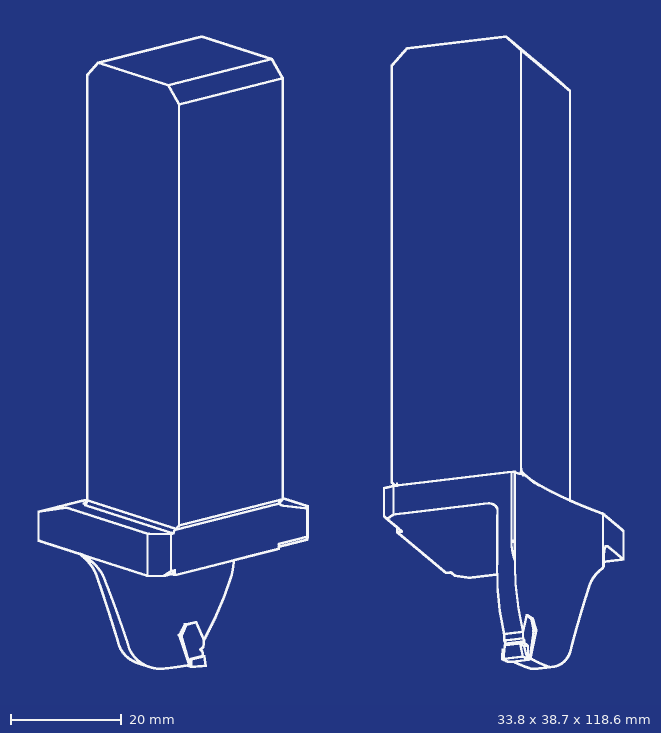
import cadquery as cq
import math

TOTAL_HEIGHT = 118.6
SHANK_SIZE = 25.0
SHANK_TOP_CHAMFER = 3.0
NECK_STEP = 1.1
NECK_STEP_Z = 36.3

HEAD_LEFT = -8.8
HEAD_RIGHT = SHANK_SIZE - NECK_STEP
HEAD_FRONT = -4.0
HEAD_BACK = 34.7
HEAD_BOTTOM = 26.7
HEAD_TOP = 34.6
HEAD_CORNER_CHAMFER = 3.0
HEAD_LOWER_CHAMFER = 1.0
SLOPE_DROP = 2.5
SLOPE_RUN = 7.7
NECK_FILLET = 1.4
FRONT_BEVEL_DEPTH = 0.5
FRONT_BEVEL_HEIGHT = 0.8

SLOPE_ANGLE = math.atan2(SLOPE_DROP, SLOPE_RUN)
FILLET_TANGENT = NECK_FILLET * math.tan((math.pi / 2 - SLOPE_ANGLE) / 2)
NECK_REACH = FILLET_TANGENT * math.cos(SLOPE_ANGLE)
NECK_TOP = HEAD_TOP + FILLET_TANGENT * (1 + math.sin(SLOPE_ANGLE))

BLADE_CENTRE_Y = 25.0
INNER_RADIUS = 24.9
INNER_REACH = -0.5
OUTER_RADIUS = 21.3
OUTER_REACH = 3.2
INNER_CENTRE_X = INNER_REACH - INNER_RADIUS
OUTER_CENTRE_X = OUTER_REACH - OUTER_RADIUS
BLADE_FILLET = 1.8
BLADE_BOTTOM = 0.7
BLADE_FRONT_Z = 22.4
BACK_EDGE_FLAT = 0.7
BACK_EDGE_START_X = -2.1
BACK_EDGE_END_X = -1.8

INSERT_FACE = INNER_REACH
INSERT_OUTLINE = [
    (23.5, 8.5),
    (21.1, 8.5),
    (19.9, 6.6),
    (22.1, 0.5),
    (25.5, 0),
    (25.0, 2.7),
    (24.5, 3.2),
    (25.3, 3.5),
    (25.4, 4.7),
]
TIP_REACH = 3.5
TIP_TOP = 1.9
GROOVE_TOP = 2.8
GROOVE_DEPTH = 0.7
GROOVE_START_Y = 22.9


def box_between(x0, x1, y0, y1, z0, z1):
    return cq.Workplane("XY").box(x1 - x0, y1 - y0, z1 - z0, centered=False).translate((x0, y0, z0))


def extrude_along_x(outline, x0, x1):
    return cq.Workplane("YZ", origin=(x0, 0, 0)).polyline(outline).close().extrude(x1 - x0)


def upright_cylinder(centre_x, radius):
    return cq.Workplane("XY").center(centre_x, BLADE_CENTRE_Y).circle(radius).extrude(NECK_TOP)


def make_shank():
    body = box_between(0, SHANK_SIZE, 0, SHANK_SIZE, HEAD_BOTTOM, TOTAL_HEIGHT)
    body = body.faces(">Z").edges("|Y").chamfer(SHANK_TOP_CHAMFER)
    step = (
        cq.Workplane("XZ")
        .moveTo(SHANK_SIZE, NECK_STEP_Z)
        .lineTo(HEAD_RIGHT, NECK_STEP_Z - NECK_STEP)
        .lineTo(HEAD_RIGHT, HEAD_BOTTOM)
        .lineTo(SHANK_SIZE, HEAD_BOTTOM)
        .close()
        .extrude(-SHANK_SIZE)
    )
    return body.cut(step)


def make_head():
    head = box_between(HEAD_LEFT, HEAD_RIGHT, HEAD_FRONT, HEAD_BACK, HEAD_BOTTOM, HEAD_TOP)
    head = head.edges("|Z and >X").chamfer(HEAD_CORNER_CHAMFER)
    head = head.edges(">X and <Z").chamfer(HEAD_LOWER_CHAMFER)
    left_slope = (
        cq.Workplane("XZ", origin=(0, HEAD_FRONT, 0))
        .moveTo(HEAD_LEFT + SLOPE_RUN, HEAD_TOP)
        .lineTo(HEAD_LEFT, HEAD_TOP - SLOPE_DROP)
        .lineTo(HEAD_LEFT, HEAD_TOP)
        .close()
        .extrude(HEAD_FRONT - HEAD_BACK)
    )
    back_slope = (
        cq.Workplane("YZ", origin=(HEAD_LEFT, 0, 0))
        .moveTo(SHANK_SIZE + NECK_REACH, HEAD_TOP)
        .lineTo(HEAD_BACK, HEAD_TOP - SLOPE_DROP)
        .lineTo(HEAD_BACK, HEAD_TOP)
        .close()
        .extrude(HEAD_RIGHT - HEAD_LEFT)
    )
    return head.cut(left_slope).cut(back_slope)


def make_neck_blends():
    """Fillets at the foot of the shank on -X and +Y, and a small bevel on -Y."""
    left = (
        cq.Workplane("XZ")
        .moveTo(0, NECK_TOP)
        .radiusArc((-NECK_REACH, HEAD_TOP), NECK_FILLET)
        .lineTo(0, HEAD_TOP)
        .close()
        .extrude(-SHANK_SIZE)
    )
    back = (
        cq.Workplane("YZ")
        .moveTo(SHANK_SIZE, NECK_TOP)
        .radiusArc((SHANK_SIZE + NECK_REACH, HEAD_TOP), -NECK_FILLET)
        .lineTo(SHANK_SIZE, HEAD_TOP)
        .close()
        .extrude(HEAD_RIGHT)
    )
    front = (
        cq.Workplane("YZ")
        .polyline([(0, HEAD_TOP), (-FRONT_BEVEL_DEPTH, HEAD_TOP), (0, HEAD_TOP + FRONT_BEVEL_HEIGHT)])
        .close()
        .extrude(HEAD_RIGHT)
    )
    return left.union(back).union(front)


def make_blade_profile():
    """Side outline of the blade, extruded along X."""
    return (
        cq.Workplane("YZ", origin=(HEAD_LEFT, 0, 0))
        .moveTo(HEAD_BACK, HEAD_BOTTOM)
        .lineTo(HEAD_BACK, 19.0)
        .threePointArc((34.5, 17.0), (33.7, 15.0))
        .lineTo(22.1, BLADE_BOTTOM)
        .lineTo(16.5, BLADE_BOTTOM)
        .threePointArc((13.3, 2.1), (11.4, 5.7))
        .lineTo(8.3, 18.3)
        .threePointArc((7.4, 20.5), (5.9, BLADE_FRONT_Z))
        .lineTo(HEAD_FRONT, BLADE_FRONT_Z)
        .lineTo(HEAD_FRONT, HEAD_BOTTOM)
        .close()
        .extrude(TIP_REACH - HEAD_LEFT)
    )


def make_blade_root():
    """Concave flare where the convex blade face meets the underside of the head."""
    flare = (
        cq.Workplane("XZ", origin=(OUTER_CENTRE_X, BLADE_CENTRE_Y, 0))
        .moveTo(0, HEAD_BOTTOM)
        .lineTo(OUTER_RADIUS + BLADE_FILLET, HEAD_BOTTOM)
        .radiusArc((OUTER_RADIUS, HEAD_BOTTOM - BLADE_FILLET), -BLADE_FILLET)
        .lineTo(0, HEAD_BOTTOM - BLADE_FILLET)
        .close()
        .revolve(360, (0, 0, 0), (0, 1, 0))
    )
    limits = box_between(HEAD_LEFT, HEAD_RIGHT, HEAD_FRONT, HEAD_BACK, 0, HEAD_BOTTOM)
    return flare.intersect(limits)


def make_back_edge_cut():
    """Narrow bevel down the sharp back edge of the blade."""
    start_y = HEAD_BACK - BACK_EDGE_FLAT
    return (
        cq.Workplane("XY")
        .moveTo(HEAD_LEFT, start_y)
        .lineTo(BACK_EDGE_START_X, start_y)
        .lineTo(BACK_EDGE_END_X, HEAD_BACK)
        .lineTo(HEAD_LEFT, HEAD_BACK)
        .close()
        .extrude(HEAD_TOP)
    )


def make_holder():
    pocket = extrude_along_x(INSERT_OUTLINE, HEAD_LEFT, TIP_REACH)
    blade = make_blade_profile().intersect(upright_cylinder(OUTER_CENTRE_X, OUTER_RADIUS))
    holder = make_head().union(make_shank()).union(make_neck_blends())
    holder = holder.union(blade).union(make_blade_root())
    holder = holder.cut(upright_cylinder(INNER_CENTRE_X, INNER_RADIUS)).cut(make_back_edge_cut())
    return holder.cut(pocket)


def make_insert():
    tip_outline = [(22.1, 0.5), (25.5, 0), (25.1, TIP_TOP), (22.1, TIP_TOP)]
    body = extrude_along_x(INSERT_OUTLINE, INSERT_FACE, OUTER_REACH)
    tip = extrude_along_x(tip_outline, INSERT_FACE, TIP_REACH)
    groove = (
        cq.Workplane("XZ", origin=(0, GROOVE_START_Y, 0))
        .moveTo(INSERT_FACE, 0)
        .lineTo(INSERT_FACE + GROOVE_DEPTH, GROOVE_TOP)
        .lineTo(INSERT_FACE, GROOVE_TOP)
        .close()
        .extrude(GROOVE_START_Y - HEAD_BACK)
    )
    return body.union(tip).cut(groove)


insert = make_insert()
holder = make_holder()

result = cq.Compound.makeCompound([holder.val(), insert.val()])